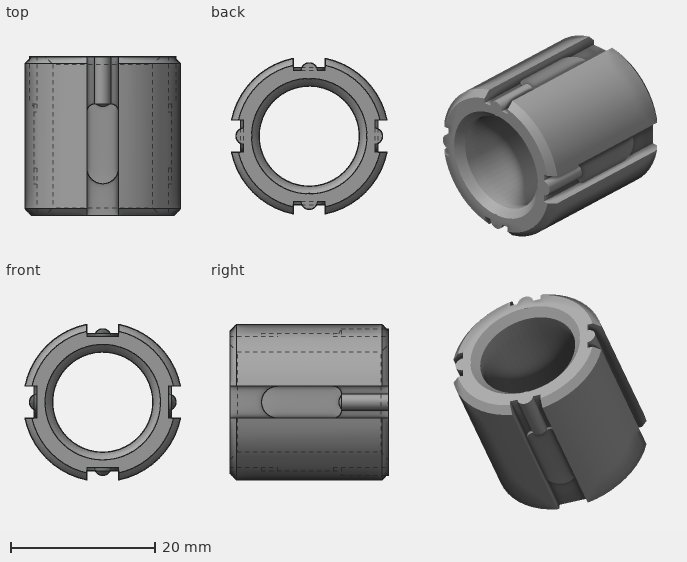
import cadquery as cq
import math

length = 22.0
outer_diameter = 22.0
outer_chamfer = 0.95
bore_diameter = 13.84
bore_mouth_diameter = 16.0
bore_chamfer = (bore_mouth_diameter - bore_diameter) / 2

slot_count = 4
slot_width = 4.4
slot_floor_height = 9.08

pad_top_height = 9.53
pad_front = 4.4
pad_rear = 15.47
pad_front_radius = slot_width / 2
pad_corner_radius = 1.1

pin_diameter = 2.25
pin_axis_height = 9.03
pin_tip_angle = 118.0


def make_sleeve():
    """Chamfered tube running along +Y."""
    inner = bore_diameter / 2
    outer = outer_diameter / 2
    mouth = bore_mouth_diameter / 2
    chamfered = outer - outer_chamfer
    profile = [
        (mouth, 0),
        (chamfered, 0),
        (outer, outer_chamfer),
        (outer, length - outer_chamfer),
        (chamfered, length),
        (mouth, length),
        (inner, length - bore_chamfer),
        (inner, bore_chamfer),
    ]
    return cq.Workplane("XY").polyline(profile).close().revolve(360, (0, 0, 0), (0, 1, 0))


def make_slot_cutter():
    """Block that opens the top slot over the full length."""
    return (
        cq.Workplane("XY")
        .workplane(offset=slot_floor_height)
        .center(0, length / 2)
        .rect(slot_width, length)
        .extrude(outer_diameter / 2 - slot_floor_height)
    )


def make_pad():
    """Pad of the top slot: round front end, square rear end with rounded corners."""
    half_width = slot_width / 2
    return (
        cq.Workplane("XY")
        .workplane(offset=slot_floor_height)
        .moveTo(-half_width, pad_rear)
        .lineTo(-half_width, pad_front + pad_front_radius)
        .threePointArc((0, pad_front), (half_width, pad_front + pad_front_radius))
        .lineTo(half_width, pad_rear)
        .close()
        .extrude(pad_top_height - slot_floor_height)
        .edges("|Z and >Y")
        .fillet(pad_corner_radius)
    )


def make_pin():
    """Pin of the top slot, revolved about its own axis."""
    radius = pin_diameter / 2
    tip_length = radius / math.tan(math.radians(pin_tip_angle / 2))
    profile = [
        (0, pad_rear - tip_length),
        (radius, pad_rear),
        (radius, length),
        (0, length),
    ]
    pin = cq.Workplane("XY").polyline(profile).close().revolve(360, (0, 0, 0), (0, 1, 0))
    return pin.translate((0, 0, pin_axis_height))


def turned(shape, angle):
    """Copy of a top-slot shape turned about the sleeve axis."""
    return shape.rotate((0, 0, 0), (0, 1, 0), angle)


result = make_sleeve()
slot_cutter = make_slot_cutter()
pad = make_pad()
pin = make_pin()

for index in range(slot_count):
    angle = index * 360 / slot_count
    result = result.cut(turned(slot_cutter, angle))
    result = result.union(turned(pad, angle))
    result = result.union(turned(pin, angle))